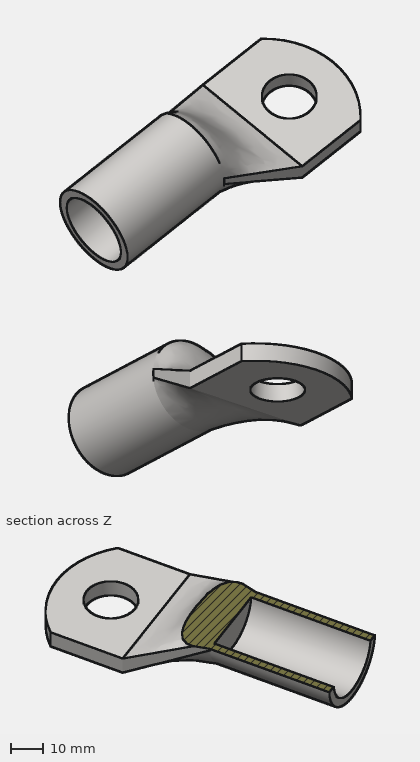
import cadquery as cq
import math

barrel_outer_diameter = 30.0
bore_diameter = 24.0
barrel_length = 42.0
barrel_axis_height = 17.0

palm_width = 44.0
palm_thickness = 6.0
palm_length = 35.0
tip_radius = 30.0
transition_length = 27.0
side_band_height = 3.0
neck_crest_heights = [9.3, 15.6, 24.8]

stud_hole_diameter = 17.0
stud_hole_to_tip = 19.0

palm_start = barrel_length + transition_length
tip = palm_start + palm_length
stud_hole_position = tip - stud_hole_to_tip

half_width = palm_width / 2
tip_arc_height = tip_radius - math.sqrt(tip_radius**2 - half_width**2)
shoulder = tip - tip_arc_height

barrel_radius = barrel_outer_diameter / 2
barrel_top = barrel_axis_height + barrel_radius
barrel_bottom = barrel_axis_height - barrel_radius
side_band_x = math.sqrt(barrel_radius**2 - (side_band_height / 2) ** 2)


def barrel_cylinder(radius):
    """Cylinder on the barrel axis, from the mouth to the neck."""
    mouth = cq.Plane(origin=(0, 0, barrel_axis_height), xDir=(-1, 0, 0), normal=(0, 1, 0))
    return cq.Workplane(mouth).circle(radius).extrude(barrel_length)


def barrel():
    return barrel_cylinder(barrel_radius)


def between(start, end, fraction):
    return start + (end - start) * fraction


def transition_section(fraction, crest_height):
    """Outline across the neck: flat sides joined by an arc above and an arc below.

    The fraction runs from 0 at the palm to 1 at the barrel. Corners and underside
    move along straight lines; the crest height is given for each section.
    """
    y = between(palm_start, barrel_length, fraction)
    x = between(half_width, side_band_x, fraction)
    upper_z = between(palm_thickness, barrel_axis_height + side_band_height / 2, fraction)
    lower_z = between(0, barrel_axis_height - side_band_height / 2, fraction)
    keel_z = between(0, barrel_bottom, fraction)

    upper_right = cq.Vector(x, y, upper_z)
    upper_left = cq.Vector(-x, y, upper_z)
    lower_right = cq.Vector(x, y, lower_z)
    lower_left = cq.Vector(-x, y, lower_z)
    if fraction == 0:
        top = cq.Edge.makeLine(upper_right, upper_left)
        bottom = cq.Edge.makeLine(lower_left, lower_right)
    else:
        top = cq.Edge.makeThreePointArc(upper_right, cq.Vector(0, y, crest_height), upper_left)
        bottom = cq.Edge.makeThreePointArc(lower_left, cq.Vector(0, y, keel_z), lower_right)
    left = cq.Edge.makeLine(upper_left, lower_left)
    right = cq.Edge.makeLine(lower_right, upper_right)
    return cq.Wire.assembleEdges([top, left, bottom, right])


def transition():
    """Neck lofted from the flat palm section to the round barrel, with a hollow back."""
    crest_heights = [palm_thickness, *neck_crest_heights, barrel_top]
    last = len(crest_heights) - 1
    sections = [transition_section(i / last, height) for i, height in enumerate(crest_heights)]
    return cq.Workplane(obj=cq.Solid.makeLoft(sections))


def palm():
    """Flat plate with straight sides and an arc across the tip."""
    return (
        cq.Workplane("XY")
        .moveTo(-half_width, palm_start)
        .lineTo(half_width, palm_start)
        .lineTo(half_width, shoulder)
        .threePointArc((0, tip), (-half_width, shoulder))
        .close()
        .extrude(palm_thickness)
    )


def stud_hole():
    return (
        cq.Workplane("XY")
        .center(0, stud_hole_position)
        .circle(stud_hole_diameter / 2)
        .extrude(palm_thickness)
    )


def bore():
    """Blind cable bore, as deep as the straight barrel."""
    return barrel_cylinder(bore_diameter / 2)


result = barrel().union(transition()).union(palm()).cut(stud_hole()).cut(bore())